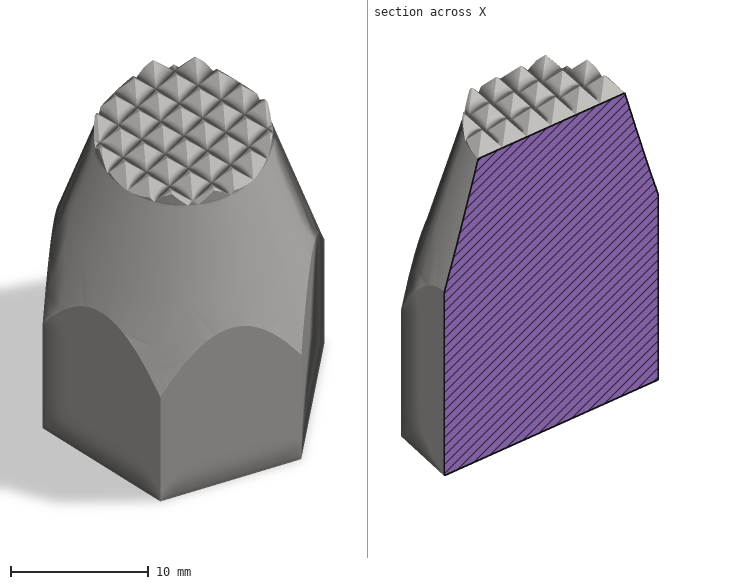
import cadquery as cq
import math

total_height = 30.0
across_corners = 21.9

nose_diameter = 13.0
nose_radius = nose_diameter / 2
taper_angle = 15.0

teeth_across = 6
tooth_height = 1.45
tooth_pitch = nose_diameter / teeth_across
tooth_base_z = total_height - tooth_height


def tapered_hexagon():
    """Hexagonal prism whose upper corners are cut away by a cone."""
    prism = cq.Workplane("XY").polygon(6, across_corners).extrude(tooth_base_z)
    base_radius = nose_radius + tooth_base_z * math.tan(math.radians(taper_angle))
    cone = (
        cq.Workplane("XZ")
        .polyline([(0, 0), (base_radius, 0), (nose_radius, tooth_base_z), (0, tooth_base_z)])
        .close()
        .revolve(360, (0, 0), (0, 1))
    )
    return prism.intersect(cone)


def tooth_blank():
    """Round disc on the nose from which the teeth are cut."""
    return cq.Workplane("XY").workplane(offset=tooth_base_z).circle(nose_radius).extrude(tooth_height)


def groove(offset):
    """V-shaped cutter along Y, with its bottom edge at X = offset."""
    half_width = tooth_pitch / 2
    return (
        cq.Workplane("XZ")
        .moveTo(offset, tooth_base_z)
        .lineTo(offset + half_width, total_height)
        .lineTo(offset - half_width, total_height)
        .close()
        .extrude(nose_diameter, both=True)
    )


result = tapered_hexagon().union(tooth_blank())

for index in range(teeth_across + 1):
    cutter = groove(index * tooth_pitch - nose_radius)
    result = result.cut(cutter)
    result = result.cut(cutter.rotate((0, 0, 0), (0, 0, 1), 90))